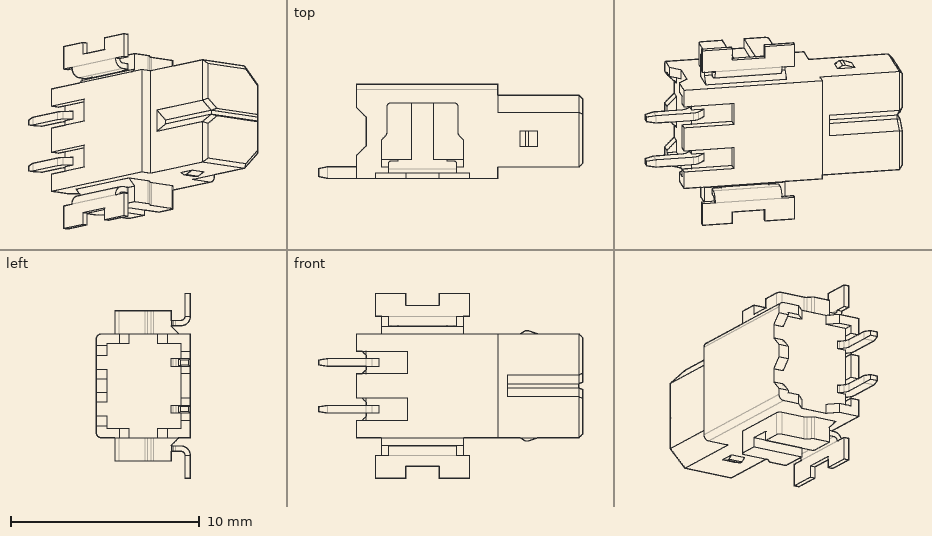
import cadquery as cq
import math

SIDES = (1, -1)
overrun = 0.14

body_rear = 2.0
body_front = 9.49
body_height = 5.0
body_half_width = 2.76
body_edge_radius = 0.3
pole_pitch = 2.48
pole_offset = pole_pitch / 2

rim_depth = 0.52
rim_wall = 0.5
rim_roof = 0.59
rear_face = body_rear + rim_depth
side_notch_y = 2.49
side_notch_mouth = 2.55
roof_notch_mouth = 1.78
pin_slot_width = 1.18
pin_slot_end = 4.7

nose_tip = 14
nose_bottom = 0.6
nose_top = 4.42
nose_bevel = 0.92
nose_chamfer = 0.21
nose_shoulder = nose_tip - nose_chamfer
groove_start = 10.01
groove_floor_half = 0.105
groove_depth = 0.6
groove_mouth_half = 0.57
split_tip_half = 0.2

latch_start, latch_crest_start, latch_crest_end, latch_end = 10.68, 10.95, 11.12, 11.6
latch_height = 0.17
latch_bottom, latch_top = 1.71, 2.52

pin_width = 0.42
pin_height = 0.63
pin_taper = 0.48
pin_tip_width = 0.27
pin_tip_inset = 0.1
pin_bend_radius = 0.42
pin_bend_angle = math.radians(45)
pin_slant_end = 0.92
pin_root_top = 1.02
pin_root = 3.5

lug_center = 5.5
lug_half_width = 2.18
lug_step = 0.3
lug_step_y = 2.03
lug_bottom = 0.62
lug_face = 1.01
lug_top = 4.0
lug_radius = 0.21
lug_outer = 3.99
channel_width = 1.18

sheet = 0.3
tab_outer = 4.9
tab_inner_radius = 0.21
tab_outer_radius = tab_inner_radius + sheet
tab_leg_inner = 3.18
tab_leg_outer = tab_leg_inner + sheet
tab_leg_width = 3.61
tab_leg_end = 0.92
tab_leg_corner = 0.14
tab_neck_width = 2.58
foot_width = 4.98
foot_inner = tab_leg_inner + tab_outer_radius
foot_notch_width = 1.76
foot_notch_depth = 0.63


def block(x0, x1, y0, y1, z0, z1):
    """Box between two opposite corners."""
    return cq.Workplane("XY").box(x1 - x0, y1 - y0, z1 - z0, centered=False).translate((x0, y0, z0))


def both_sides(shape):
    """The shape together with its mirror image across Z = 0."""
    return shape.union(shape.mirror("XY"))


def make_body():
    """Housing with a recessed, notched rear face and two slots for the pins."""
    body = block(body_rear, body_front, 0, body_height, -body_half_width, body_half_width)
    body = body.edges("|X and >Y").fillet(body_edge_radius)
    recess = block(body_rear - overrun, rear_face, rim_wall, body_height - rim_roof,
                   rim_wall - body_half_width, body_half_width - rim_wall)
    body = body.cut(recess)

    side_half = side_notch_mouth / 2
    side_notch = (
        cq.Workplane("XY")
        .polyline([
            (body_rear, side_notch_y - side_half),
            (rear_face, side_notch_y - side_half + rim_depth),
            (rear_face, side_notch_y + side_half - rim_depth),
            (body_rear, side_notch_y + side_half),
        ])
        .close()
        .extrude(body_half_width + overrun, both=True)
    )
    body = body.cut(side_notch)
    roof_half = roof_notch_mouth / 2
    for side in SIDES:
        pole = side * pole_offset
        roof_notch = (
            cq.Workplane("XZ", origin=(0, body_height + overrun, 0))
            .polyline([
                (body_rear, pole - roof_half),
                (rear_face, pole - roof_half + rim_depth),
                (rear_face, pole + roof_half - rim_depth),
                (body_rear, pole + roof_half),
            ])
            .close()
            .extrude(rim_roof + 2 * overrun)
        )
        pin_slot = block(body_rear - overrun, pin_slot_end, -overrun, rim_wall,
                         pole - pin_slot_width / 2, pole + pin_slot_width / 2)
        body = body.cut(roof_notch).cut(pin_slot)
    return body


def make_nose():
    """Nose with beveled upper edges, a V groove below and a chamfered end."""
    shoulder = body_half_width - nose_bevel
    nose = (
        cq.Workplane("YZ", origin=(body_front, 0, 0))
        .polyline([
            (nose_bottom, -body_half_width),
            (nose_top - nose_bevel, -body_half_width),
            (nose_top, -shoulder),
            (nose_top, shoulder),
            (nose_top - nose_bevel, body_half_width),
            (nose_bottom, body_half_width),
        ])
        .close()
        .extrude(nose_tip - body_front)
    )
    groove = (
        cq.Workplane("YZ", origin=(groove_start, 0, 0))
        .polyline([
            (nose_bottom, -groove_mouth_half),
            (nose_bottom, groove_mouth_half),
            (nose_bottom + groove_depth, groove_floor_half),
            (nose_bottom + groove_depth, -groove_floor_half),
        ])
        .close()
        .extrude(nose_tip - groove_start)
    )
    nose = nose.cut(groove).faces(">X").chamfer(nose_chamfer)

    split = (
        cq.Workplane("XZ")
        .polyline([
            (nose_shoulder, -groove_floor_half),
            (nose_shoulder, groove_floor_half),
            (nose_tip, split_tip_half),
            (nose_tip, -split_tip_half),
        ])
        .close()
        .extrude(-body_height)
    )
    return nose.cut(split)


def make_latch():
    """Latch bump on the +Z side of the nose."""
    return (
        cq.Workplane("XZ", origin=(0, latch_bottom, 0))
        .polyline([
            (latch_start, body_half_width),
            (latch_crest_start, body_half_width + latch_height),
            (latch_crest_end, body_half_width + latch_height),
            (latch_end, body_half_width),
            (latch_end, body_half_width - overrun),
            (latch_start, body_half_width - overrun),
        ])
        .close()
        .extrude(latch_bottom - latch_top)
    )


def make_pin():
    """Pin with a tapered tip that bends upward at 45 degrees into the housing."""
    run = pin_bend_radius * math.sin(pin_bend_angle)
    rise = pin_bend_radius * (1 - math.cos(pin_bend_angle))
    mid_run = pin_bend_radius * math.sin(pin_bend_angle / 2)
    mid_rise = pin_bend_radius * (1 - math.cos(pin_bend_angle / 2))
    slant_rise = pin_slant_end - pin_height - rise
    shank = (
        cq.Workplane("XY")
        .moveTo(pin_taper, 0)
        .lineTo(rear_face, 0)
        .threePointArc((rear_face + mid_run, mid_rise), (rear_face + run, rise))
        .lineTo(pin_root, rise + pin_root - rear_face - run)
        .lineTo(pin_root, pin_root_top)
        .lineTo(rear_face, pin_root_top)
        .lineTo(body_rear + run + slant_rise, pin_slant_end)
        .lineTo(body_rear + run, pin_height + rise)
        .threePointArc((body_rear + mid_run, pin_height + mid_rise), (body_rear, pin_height))
        .lineTo(pin_taper, pin_height)
        .close()
        .extrude(pin_width / 2, both=True)
    )
    tip = (
        cq.Workplane("YZ", origin=(0, pin_height / 2, 0))
        .rect(pin_height - 2 * pin_tip_inset, pin_tip_width)
        .workplane(offset=pin_taper)
        .rect(pin_height, pin_width)
        .loft()
    )
    return shank.union(tip)


def make_lug():
    """Lug on the +Z side with a stepped outline, a channel and a sloped foot."""
    narrow = lug_half_width - lug_step
    lug = (
        cq.Workplane("XY", origin=(lug_center, 0, body_half_width))
        .polyline([
            (-lug_half_width, lug_bottom),
            (lug_half_width, lug_bottom),
            (lug_half_width, lug_step_y),
            (narrow, lug_step_y + lug_step),
            (narrow, lug_top),
            (-narrow, lug_top),
            (-narrow, lug_step_y + lug_step),
            (-lug_half_width, lug_step_y),
        ])
        .close()
        .extrude(lug_outer - body_half_width)
        .edges("|Z and (not <Y)")
        .fillet(lug_radius)
    )
    slope_rise = lug_face - lug_bottom
    undercut = (
        cq.Workplane("YZ", origin=(lug_center, 0, 0))
        .polyline([
            (lug_bottom, body_half_width),
            (lug_face, body_half_width + slope_rise),
            (lug_face, lug_outer),
            (lug_bottom, lug_outer),
        ])
        .close()
        .extrude(lug_half_width, both=True)
    )
    channel = block(lug_center - channel_width / 2, lug_center + channel_width / 2,
                    0, body_height, tab_leg_outer, lug_outer)
    return lug.cut(undercut).cut(channel)


def make_tab():
    """L-shaped solder tab on the +Z side: a leg, a round bend and a notched foot."""
    diagonal = math.sqrt(0.5)
    bend_y = tab_outer_radius
    bend_z = foot_inner
    leg = (
        cq.Workplane("YZ", origin=(lug_center, 0, 0))
        .moveTo(0, bend_z)
        .threePointArc(
            (bend_y - tab_outer_radius * diagonal, bend_z - tab_outer_radius * diagonal),
            (bend_y, tab_leg_inner))
        .lineTo(tab_leg_end, tab_leg_inner)
        .lineTo(tab_leg_end, tab_leg_outer)
        .lineTo(bend_y, tab_leg_outer)
        .threePointArc(
            (bend_y - tab_inner_radius * diagonal, bend_z - tab_inner_radius * diagonal),
            (sheet, bend_z))
        .close()
        .extrude(tab_leg_width / 2, both=True)
        .edges("|Z and >Y")
        .fillet(tab_leg_corner)
    )
    neck = block(lug_center - tab_neck_width / 2, lug_center + tab_neck_width / 2,
                 bend_y, lug_face + overrun, tab_leg_inner, tab_leg_outer)
    foot = block(lug_center - foot_width / 2, lug_center + foot_width / 2, 0, sheet, foot_inner, tab_outer)
    notch = block(lug_center - foot_notch_width / 2, lug_center + foot_notch_width / 2,
                  0, sheet, tab_outer - foot_notch_depth, tab_outer)
    return leg.union(neck).union(foot.cut(notch))


result = make_body().union(make_nose())
for side in SIDES:
    result = result.union(make_pin().translate((0, 0, side * pole_offset)))
for feature in (make_latch(), make_lug(), make_tab()):
    result = result.union(both_sides(feature))